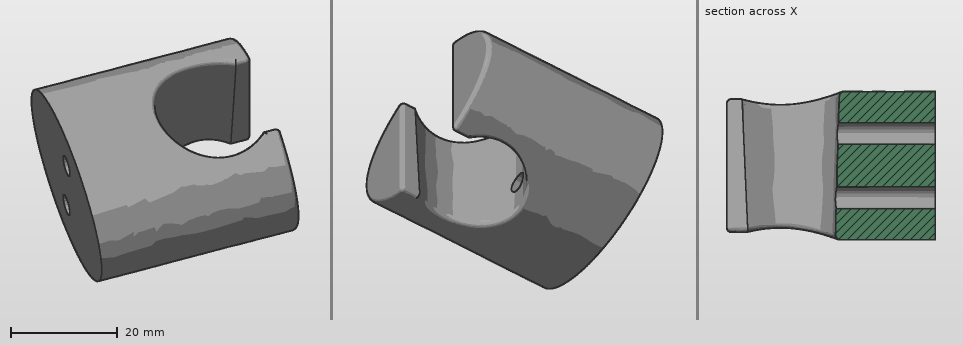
import cadquery as cq

WIDTH = 42.0
HEIGHT = 27.8
DEPTH = 39.0

BORE_Y = 28.95
BORE_TOP_RADIUS = 11.0
BORE_BOTTOM_RADIUS = 10.25
SLOT_WIDTH = 16.55

HOLE_DIAMETER = 4.0
HOLE_SPACING = 12.0

EDGE_RADIUS = 0.9
TOLERANCE = 0.005


def make_body():
    """Elliptic cylinder lying along +Y."""
    return cq.Workplane("XZ").ellipse(WIDTH / 2, HEIGHT / 2).extrude(-DEPTH)


def make_bore():
    """Cone that spans the full height of the body."""
    bottom_centre = cq.Vector(0, BORE_Y, -HEIGHT / 2)
    up = cq.Vector(0, 0, 1)
    cone = cq.Solid.makeCone(BORE_BOTTOM_RADIUS, BORE_TOP_RADIUS, HEIGHT, pnt=bottom_centre, dir=up)
    return cq.Workplane(cone)


def make_slot():
    """Straight entry from the far end to the bore centre."""
    return (
        cq.Workplane("XY", origin=(0, BORE_Y, 0))
        .box(SLOT_WIDTH, DEPTH - BORE_Y, HEIGHT, centered=(True, False, True))
    )


def make_screw_holes():
    """Holes one above the other, ending inside the bore."""
    return (
        cq.Workplane("XZ")
        .pushPoints([(0, -HOLE_SPACING / 2), (0, HOLE_SPACING / 2)])
        .circle(HOLE_DIAMETER / 2)
        .extrude(-BORE_Y)
    )


def is_rounded(edge):
    """True for the outer rims of the bore and slot, and every edge of the far end."""
    box = edge.BoundingBox()
    touches_mounting_face = box.ymin < TOLERANCE
    on_far_end = box.ymin > DEPTH - TOLERANCE
    crosses_mid_height = box.zmin < 0 < box.zmax
    is_inner_corner = crosses_mid_height and not on_far_end
    return not touches_mounting_face and not is_inner_corner


holder = make_body().cut(make_bore()).cut(make_slot())
rounded_edges = [edge for edge in holder.edges().vals() if is_rounded(edge)]
holder = holder.newObject(rounded_edges).fillet(EDGE_RADIUS)
result = holder.cut(make_screw_holes())